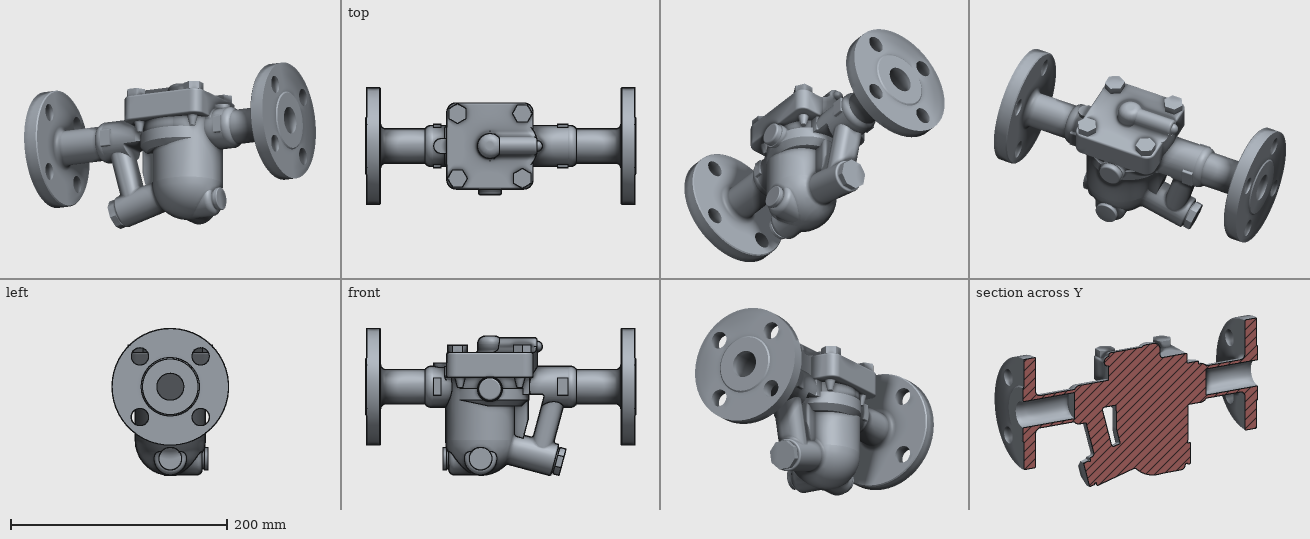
import cadquery as cq
import math

ARC_45 = math.sqrt(0.5)

FACE_TO_FACE = 250.0
FLANGE_DIAMETER = 108.0
FLANGE_THICKNESS = 13.0
FLANGE_CHAMFER = 1.0
RAISED_FACE_DIAMETER = 54.0
RAISED_FACE_HEIGHT = 1.0
RAISED_FACE_TAPER = 1.3
BOLT_CIRCLE_DIAMETER = 79.4
BOLT_HOLE_DIAMETER = 16.0
PIPE_DIAMETER = 32.0
PIPE_ROOT_FILLET = 4.5
BORE_DIAMETER = 25.0
BORE_DEPTH = 55.0

SOCKET_DIAMETER = 38.0
SOCKET_END = 70.0
SOCKET_SHOULDER = 62.4
SOCKET_NOSE_RADIUS = 7.6
PAD_HALF_HEIGHT = 7.9
PAD_FACE = 20.2
INLET_PAD_LENGTH = 7.0
OUTLET_PAD_LENGTH = 9.8
PAD_CORNER_FILLET = 1.0

BOWL_X = -18.6
BOWL_RADIUS = 32.5
BOWL_CENTRE_Z = -49.5
BOWL_TOP = 9.0

COVER_X = -10.0
COVER_WIDTH = 80.0
COVER_CORNER_RADIUS = 9.0
COVER_TOP = 31.7
COVER_BOTTOM = 8.5
COVER_TOP_FILLET = 2.0
COVER_BOTTOM_FILLET = 1.5
BOLT_SPACING = 60.0
BOLT_HEAD_FLATS = 16.0
HEX_SIDES = 6
QUARTER_TURN = 90.0
BOLT_HEAD_TOP = 38.5
BOLT_BOSS_SPACING = 55.0
BOLT_BOSS_TOP_RADIUS = 5.0
BOLT_BOSS_TIP_RADIUS = 2.5
BOLT_BOSS_BOTTOM = -0.9

NECK_RADIUS = 34.0
BAND_X = -11.3
BAND_RADIUS = 37.3
BAND_TOP = -1.5
BAND_BOTTOM = -12.2
BAND_TAPER_HEIGHT = 5.5

DOME_RADIUS = 11.5
DOME_TOP = 47.0
DOME_TOP_FILLET = 7.5
DOME_ROOT_FILLET = 2.0
ARM_RADIUS = 8.2
ARM_AXIS_Z = 37.2
ARM_END = 33.6
ARM_END_FILLET = 2.2
BALL_RADIUS = 5.0
LUG_X = 7.2
LUG_RADIUS = 27.0
LUG_BOTTOM = -7.0

PLUG_DIAMETER = 21.0
PLUG_EDGE_FILLET = 1.7
UPPER_PLUG_Z = -2.2
UPPER_PLUG_FACE = 45.2
UPPER_BOSS_DIAMETER = 23.0
UPPER_BOSS_REACH = 39.5
LOWER_PLUG_Z = -66.5
LOWER_PLUG_REACH = 35.0
LOWER_PLUG_THICKNESS = 3.4
LOWER_PLUG_FILLET = 0.8
PLUG_SEAT_DIAMETER = 19.0
PLUG_BOSS_DIAMETER = 30.0
PLUG_BOSS_START = 3.0
PLUG_BOSS_REACH = 29.5
PLUG_BOSS_FILLET = 5.0

STRAINER_SLOPE = 15.0
STRAINER_DIAMETER = 30.0
STRAINER_LENGTH = 71.0
STRAINER_END_FILLET = 1.5
STRAINER_ROOT_FILLET = 3.5
CAP_SEAT_DIAMETER = 23.0
CAP_START = 72.5
CAP_END = 78.5
CAP_FLATS = 25.4
CAP_SIDES = 8
STRUT_WIDTH = 19.8
STRUT_DEPTH = 26.0
STRUT_CORNER_RADIUS = 8.8
STRUT_OFFSET = 56.0
STRUT_ROOT_FILLET = 2.5
WINDOW_CORNER_FILLET = 2.0

CHANNEL_FACE_X = 25.5
CHANNEL_HALF_WIDTH = 9.0
CHANNEL_KNEE_Z = -30.0
CHANNEL_FILLET = 3.2

TOP_PAD_END_X = -62.0
TOP_PAD_HALF_WIDTH = 6.8
TOP_PAD_TOP = 22.0
STEP_END_X = -52.0
STEP_HALF_WIDTH = 18.0
STEP_TOP = 19.9
STEP_CORNER_RADIUS = 2.0


def rod(start, direction, length, radius):
    """Round bar from a start point along a direction."""
    return cq.Workplane(obj=cq.Solid.makeCylinder(radius, length, cq.Vector(*start), cq.Vector(*direction)))


def box(x_range, y_range, z_range):
    """Axis-aligned block given by its three ranges."""
    size = [high - low for low, high in (x_range, y_range, z_range)]
    return cq.Workplane().box(*size, centered=False).translate((x_range[0], y_range[0], z_range[0]))


def corner_diameter(flats, sides):
    """Diameter across the corners of a regular polygon with an even number of sides."""
    return flats / math.cos(math.pi / sides)


def make_pipe_end(side):
    """Flange, pipe and socket on one side; side is -1 for the inlet and +1 for the outlet."""
    end = FACE_TO_FACE / 2
    flange_front = end - RAISED_FACE_HEIGHT
    flange_back = flange_front - FLANGE_THICKNESS
    flange_radius = FLANGE_DIAMETER / 2
    raised_radius = RAISED_FACE_DIAMETER / 2
    pipe_radius = PIPE_DIAMETER / 2
    socket_radius = SOCKET_DIAMETER / 2
    nose_height = socket_radius - pipe_radius
    profile = (
        cq.Workplane("XY")
        .moveTo(0, 0)
        .lineTo(0, socket_radius)
        .lineTo(SOCKET_SHOULDER, socket_radius)
        .threePointArc(
            (SOCKET_SHOULDER + SOCKET_NOSE_RADIUS * ARC_45, pipe_radius + nose_height * ARC_45),
            (SOCKET_END, pipe_radius),
        )
        .lineTo(flange_back - PIPE_ROOT_FILLET, pipe_radius)
        .threePointArc(
            (flange_back - PIPE_ROOT_FILLET * (1 - ARC_45), pipe_radius + PIPE_ROOT_FILLET * (1 - ARC_45)),
            (flange_back, pipe_radius + PIPE_ROOT_FILLET),
        )
        .lineTo(flange_back, flange_radius - FLANGE_CHAMFER)
        .lineTo(flange_back + FLANGE_CHAMFER, flange_radius)
        .lineTo(flange_front, flange_radius)
        .lineTo(flange_front, raised_radius)
        .lineTo(end, raised_radius - RAISED_FACE_TAPER)
        .lineTo(end, 0)
        .close()
    )
    pipe = profile.revolve(360, (0, 0, 0), (1, 0, 0))
    hole_offset = BOLT_CIRCLE_DIAMETER / 2 * ARC_45
    for y in (-hole_offset, hole_offset):
        for z in (-hole_offset, hole_offset):
            hole = rod((flange_back, y, z), (1, 0, 0), FLANGE_THICKNESS, BOLT_HOLE_DIAMETER / 2)
            pipe = pipe.cut(hole)
    return pipe if side > 0 else pipe.mirror("YZ")


def make_bore(side):
    """Blind bore entering one flange face."""
    return rod((side * FACE_TO_FACE / 2, 0, 0), (-side, 0, 0), BORE_DEPTH, BORE_DIAMETER / 2)


def make_wrench_pads():
    """Flat pads on both flanks of the two sockets."""
    pads = cq.Workplane()
    inlet_range = (-SOCKET_SHOULDER, INLET_PAD_LENGTH - SOCKET_SHOULDER)
    outlet_range = (SOCKET_SHOULDER - OUTLET_PAD_LENGTH, SOCKET_SHOULDER)
    for x_range in (inlet_range, outlet_range):
        pad = box(x_range, (-PAD_FACE, PAD_FACE), (-PAD_HALF_HEIGHT, PAD_HALF_HEIGHT))
        pads = pads.add(pad.edges("|X").fillet(PAD_CORNER_FILLET))
    return pads.combine()


def make_bowl():
    """Vertical cylinder closed by a hemisphere."""
    centre = (BOWL_X, 0, BOWL_CENTRE_Z)
    wall = rod(centre, (0, 0, 1), BOWL_TOP - BOWL_CENTRE_Z, BOWL_RADIUS)
    return wall.union(cq.Workplane().sphere(BOWL_RADIUS).translate(centre))


def make_neck():
    """Round neck below the cover with its raised band tapering into the bowl."""
    neck_height = COVER_BOTTOM + COVER_BOTTOM_FILLET - BAND_BOTTOM
    neck = rod((COVER_X, 0, BAND_BOTTOM), (0, 0, 1), neck_height, NECK_RADIUS)
    band = rod((BAND_X, 0, BAND_BOTTOM), (0, 0, 1), BAND_TOP - BAND_BOTTOM, BAND_RADIUS)
    taper = cq.Workplane(
        obj=cq.Solid.makeCone(
            BAND_RADIUS - BAND_TAPER_HEIGHT,
            BAND_RADIUS,
            BAND_TAPER_HEIGHT,
            cq.Vector(BAND_X, 0, BAND_BOTTOM - BAND_TAPER_HEIGHT),
        )
    )
    return neck.union(band).union(taper)


def make_cover():
    """Square cover with rounded corners."""
    half = COVER_WIDTH / 2
    cover = box((COVER_X - half, COVER_X + half), (-half, half), (COVER_BOTTOM, COVER_TOP))
    cover = cover.edges("|Z").fillet(COVER_CORNER_RADIUS)
    cover = cover.faces(">Z").edges().fillet(COVER_TOP_FILLET)
    return cover.faces("<Z").edges().fillet(COVER_BOTTOM_FILLET)


def corner_places(spacing):
    """Points of a square pattern around the cover centre, each with its two signs."""
    half = spacing / 2
    signs = [(x_sign, y_sign) for x_sign in (-1, 1) for y_sign in (-1, 1)]
    return [(x_sign, y_sign, COVER_X + x_sign * half, y_sign * half) for x_sign, y_sign in signs]


def make_bolt_heads():
    """Hexagon heads on the cover, neighbours turned by a quarter."""
    heads = []
    for x_sign, y_sign, x, y in corner_places(BOLT_SPACING):
        head = cq.Workplane().polygon(HEX_SIDES, corner_diameter(BOLT_HEAD_FLATS, HEX_SIDES))
        head = head.extrude(BOLT_HEAD_TOP - COVER_TOP)
        if x_sign != y_sign:
            head = head.rotate((0, 0, 0), (0, 0, 1), QUARTER_TURN)
        heads.append(head.translate((x, y, COVER_TOP)))
    return heads


def make_bolt_bosses():
    """Tapered bosses under the cover flange, one below each bolt."""
    bosses = []
    height = COVER_BOTTOM - BOLT_BOSS_BOTTOM
    for _, _, x, y in corner_places(BOLT_BOSS_SPACING):
        tip = cq.Vector(x, y, BOLT_BOSS_BOTTOM)
        cone = cq.Solid.makeCone(BOLT_BOSS_TIP_RADIUS, BOLT_BOSS_TOP_RADIUS, height, tip)
        bosses.append(cq.Workplane(obj=cone))
    return bosses


def make_dome():
    """Rounded cap on the cover, flared where it meets the cover."""
    height = DOME_TOP - COVER_TOP
    flare = rod((COVER_X, 0, COVER_TOP), (0, 0, 1), DOME_ROOT_FILLET, DOME_RADIUS + DOME_ROOT_FILLET)
    ring = cq.Workplane(
        obj=cq.Solid.makeTorus(
            DOME_RADIUS + DOME_ROOT_FILLET,
            DOME_ROOT_FILLET,
            cq.Vector(COVER_X, 0, COVER_TOP + DOME_ROOT_FILLET),
        )
    )
    dome = rod((COVER_X, 0, COVER_TOP), (0, 0, 1), height, DOME_RADIUS)
    dome = dome.faces(">Z").edges().fillet(DOME_TOP_FILLET)
    return dome.union(flare.cut(ring))


def make_arm():
    """Round arm from the dome to the outlet side with a ball tip, concave foot and lug below."""
    rise = ARM_AXIS_Z - COVER_TOP
    foot_half_width = ARM_RADIUS + rise
    arc_y = foot_half_width - rise * ARC_45
    arc_z = ARM_AXIS_Z - rise * ARC_45
    foot = (
        cq.Workplane("YZ", origin=(COVER_X, 0, 0))
        .moveTo(-foot_half_width, COVER_TOP)
        .threePointArc((-arc_y, arc_z), (-ARM_RADIUS, ARM_AXIS_Z))
        .lineTo(ARM_RADIUS, ARM_AXIS_Z)
        .threePointArc((arc_y, arc_z), (foot_half_width, COVER_TOP))
        .close()
        .extrude(ARM_END - COVER_X)
    )
    lug = rod((LUG_X, 0, LUG_BOTTOM), (0, 0, 1), ARM_AXIS_Z - LUG_BOTTOM, LUG_RADIUS)
    half = SOCKET_DIAMETER / 2
    below_cover_top = box((LUG_X, ARM_END + LUG_RADIUS), (-half, half), (LUG_BOTTOM, COVER_TOP))
    arm = rod((COVER_X, 0, ARM_AXIS_Z), (1, 0, 0), ARM_END - COVER_X, ARM_RADIUS)
    arm = arm.faces(">X").edges().fillet(ARM_END_FILLET)
    ball = cq.Workplane().sphere(BALL_RADIUS).translate((ARM_END, 0, ARM_AXIS_Z))
    return arm.union(foot.intersect(lug)).union(lug.intersect(below_cover_top)).union(ball)


def make_upper_plug():
    """Plug on the front of the neck."""
    plug = rod((COVER_X, 0, UPPER_PLUG_Z), (0, -1, 0), UPPER_PLUG_FACE, PLUG_DIAMETER / 2)
    boss = rod((COVER_X, 0, UPPER_PLUG_Z), (0, -1, 0), UPPER_BOSS_REACH, UPPER_BOSS_DIAMETER / 2)
    return boss.union(plug.faces("<Y").edges().fillet(PLUG_EDGE_FILLET))


def make_lower_plug(direction, far_face):
    """Plug, seat and rounded boss on the lower bowl, pointing along a horizontal direction."""
    centre = (BOWL_X, 0, LOWER_PLUG_Z)
    boss_start = [c + d * PLUG_BOSS_START for c, d in zip(centre, direction)]
    boss = rod(boss_start, direction, PLUG_BOSS_REACH - PLUG_BOSS_START, PLUG_BOSS_DIAMETER / 2)
    boss = boss.faces(far_face).edges().fillet(PLUG_BOSS_FILLET)
    seat = rod(centre, direction, LOWER_PLUG_REACH - LOWER_PLUG_THICKNESS, PLUG_SEAT_DIAMETER / 2)
    plug_start = [c + d * (LOWER_PLUG_REACH - LOWER_PLUG_THICKNESS) for c, d in zip(centre, direction)]
    plug = rod(plug_start, direction, LOWER_PLUG_THICKNESS, PLUG_DIAMETER / 2)
    plug = plug.faces(far_face).edges().fillet(LOWER_PLUG_FILLET)
    return boss.union(seat).union(plug)


def in_strainer_frame(shape):
    """Move a shape built along X at the origin onto the sloping strainer axis."""
    tilted = shape.rotate((0, 0, 0), (0, 1, 0), STRAINER_SLOPE)
    return tilted.translate((BOWL_X, 0, BOWL_CENTRE_Z))


def strut_top():
    """Distance from the strainer axis to the pipe axis, measured along the strut."""
    slope = math.radians(STRAINER_SLOPE)
    return (STRUT_OFFSET * math.sin(slope) - BOWL_CENTRE_Z) / math.cos(slope)


def make_strainer():
    """Strainer branch with its cap and the strut that rises to the outlet socket."""
    branch = rod((0, 0, 0), (1, 0, 0), STRAINER_LENGTH, STRAINER_DIAMETER / 2)
    branch = branch.faces(">X").edges().fillet(STRAINER_END_FILLET)
    strut = (
        cq.Workplane("XY", origin=(STRUT_OFFSET, 0, 0))
        .rect(STRUT_WIDTH, STRUT_DEPTH)
        .extrude(strut_top())
        .edges("|Z")
        .fillet(STRUT_CORNER_RADIUS)
    )
    body = branch.union(strut)
    root_zone = cq.selectors.BoxSelector(
        (STRUT_OFFSET - STRUT_WIDTH, -STRUT_DEPTH, STRUT_ROOT_FILLET),
        (STRUT_OFFSET + STRUT_WIDTH, STRUT_DEPTH, STRAINER_DIAMETER / 2 + STRUT_ROOT_FILLET),
    )
    body = body.edges(root_zone).edges("not(|Z or >X)").fillet(STRUT_ROOT_FILLET)
    seat = rod((0, 0, 0), (1, 0, 0), CAP_START, CAP_SEAT_DIAMETER / 2)
    half_sector = 180 / CAP_SIDES
    cap = (
        cq.Workplane("YZ", origin=(CAP_START, 0, 0))
        .transformed(rotate=(0, 0, half_sector))
        .polygon(CAP_SIDES, corner_diameter(CAP_FLATS, CAP_SIDES))
        .extrude(CAP_END - CAP_START)
    )
    return in_strainer_frame(body.union(seat).union(cap))


def make_window():
    """Space under the outlet passage, between the neck and the strut."""
    length = STRUT_OFFSET - STRUT_WIDTH / 2
    half = SOCKET_DIAMETER / 2
    slanted = in_strainer_frame(box((0, length), (-half, half), (0, strut_top() + half)))
    level = box((0, FACE_TO_FACE / 2), (-half, half), (-SOCKET_DIAMETER, LUG_BOTTOM))
    window = slanted.intersect(level)
    return window.faces(">Z").edges(">X").fillet(WINDOW_CORNER_FILLET)


def make_bowl_with_strainer():
    """Bowl and strainer branch joined by a fillet."""
    body = make_bowl().union(make_strainer())
    joint_zone = cq.selectors.BoxSelector(
        (BOWL_X + BOWL_RADIUS / 2, -STRAINER_DIAMETER, BOWL_CENTRE_Z - BOWL_RADIUS),
        (BOWL_X + BOWL_RADIUS + STRAINER_ROOT_FILLET, STRAINER_DIAMETER, BOWL_CENTRE_Z + BOWL_RADIUS / 2),
    )
    return body.edges(joint_zone).edges("not(|Z or |Y)").fillet(STRAINER_ROOT_FILLET)


def make_channel():
    """Rounded wall running down the outlet side of the bowl and slanting in to the strainer."""
    slope = math.tan(math.radians(STRAINER_SLOPE))
    bottom_x = CHANNEL_FACE_X - (CHANNEL_KNEE_Z - BOWL_CENTRE_Z) * slope
    channel = (
        cq.Workplane("XZ", origin=(0, CHANNEL_HALF_WIDTH, 0))
        .polyline(
            [
                (BOWL_X, 0),
                (CHANNEL_FACE_X, 0),
                (CHANNEL_FACE_X, CHANNEL_KNEE_Z),
                (bottom_x, BOWL_CENTRE_Z),
                (BOWL_X, BOWL_CENTRE_Z),
            ]
        )
        .close()
        .extrude(2 * CHANNEL_HALF_WIDTH)
    )
    outer_edges = channel.faces(">X").edges("|Z")
    return outer_edges.fillet(CHANNEL_FILLET)


def make_inlet_details():
    """Round-ended pad on top of the inlet socket and the stepped shoulder beside the cover."""
    pad_centre_x = TOP_PAD_END_X + TOP_PAD_HALF_WIDTH
    pad = rod((pad_centre_x, 0, 0), (0, 0, 1), TOP_PAD_TOP, TOP_PAD_HALF_WIDTH)
    pad = pad.union(
        box((pad_centre_x, COVER_X), (-TOP_PAD_HALF_WIDTH, TOP_PAD_HALF_WIDTH), (0, TOP_PAD_TOP))
    )
    step = box((STEP_END_X, COVER_X), (-STEP_HALF_WIDTH, STEP_HALF_WIDTH), (0, STEP_TOP))
    step = step.edges("|Z and <X").fillet(STEP_CORNER_RADIUS)
    collar = rod((STEP_END_X, 0, 0), (1, 0, 0), COVER_X - STEP_END_X, STEP_TOP)
    return pad.union(step.intersect(collar))


features = [
    make_wrench_pads(),
    make_bowl_with_strainer(),
    make_neck(),
    make_cover(),
    make_dome(),
    make_arm(),
    make_upper_plug(),
    make_lower_plug((0, -1, 0), "<Y"),
    make_lower_plug((-1, 0, 0), "<X"),
    make_channel(),
    make_inlet_details(),
    *make_bolt_heads(),
    *make_bolt_bosses(),
]

result = make_pipe_end(-1).union(make_pipe_end(1).cut(make_window()))
for feature in features:
    result = result.union(feature)
for pipe_side in (-1, 1):
    result = result.cut(make_bore(pipe_side))